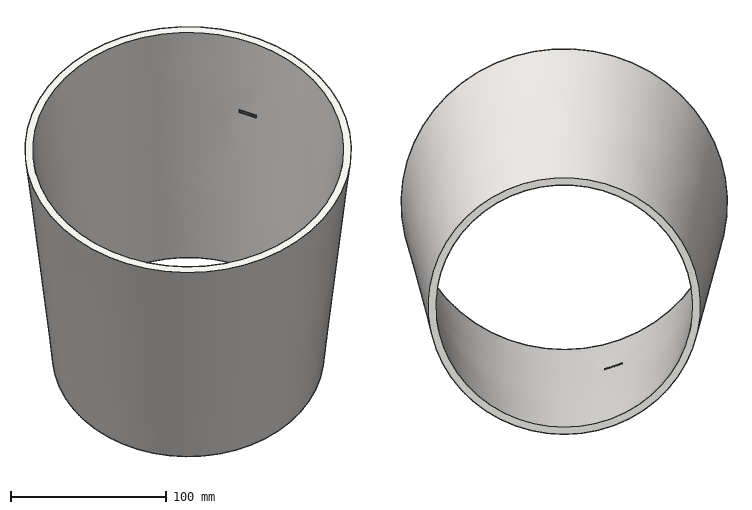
import cadquery as cq

height = 200.0
top_diameter = 210.0
bottom_diameter = 175.0
wall = 5.0

slot_width = 12.0
slot_height = 2.0
slot_depth = 0.5
slot_center_z = 136.0

top_radius = top_diameter / 2
bottom_radius = bottom_diameter / 2
inner_radius_at_slot = bottom_radius - wall + (top_radius - bottom_radius) * slot_center_z / height
slot_floor_y = inner_radius_at_slot + slot_depth


def tapered_sleeve():
    """Open-ended conical sleeve, wider at the top, standing on Z = 0, with its seam at -X."""
    wall_section = [
        (wall - bottom_radius, 0),
        (-bottom_radius, 0),
        (-top_radius, height),
        (wall - top_radius, height),
    ]
    return cq.Workplane("XZ").polyline(wall_section).close().revolve(360, (0, 0), (0, 1))


def wall_slot():
    """Horizontal cutter that runs from the axis to the blind end of the slot, toward +Y."""
    return (
        cq.Workplane("XY")
        .box(slot_width, slot_floor_y, slot_height, centered=(True, False, True))
        .translate((0, 0, slot_center_z))
    )


result = tapered_sleeve().cut(wall_slot())